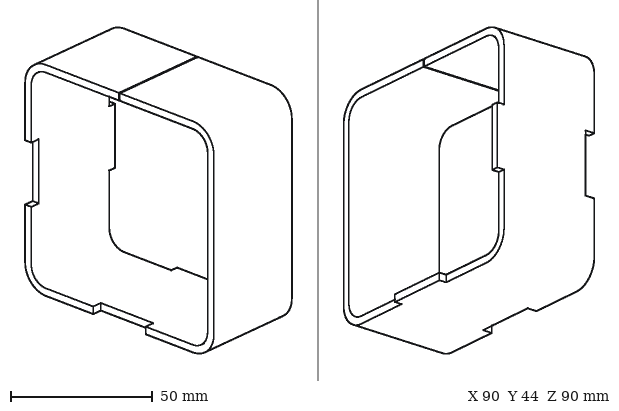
import cadquery as cq

outer_side = 90.0
wall = 3.0
outer_radius = 10.0
band_depth = 41.0

joint_width = 25.0
tab_length = 3.0
notch_depth = 4.0

seam_gap = 0.5

inner_side = outer_side - 2 * wall
inner_radius = outer_radius - wall
wall_center = (outer_side - wall) / 2


def rounded_bar(side, radius):
    """Square bar along +Y with its four long edges rounded."""
    bar = cq.Workplane("XY").box(side, band_depth, side, centered=(True, False, True))
    return bar.edges("|Y").fillet(radius)


def joint_blocks(y_start, length):
    """Wall-thick blocks centred on the left and bottom walls, from y_start along +Y."""
    centering = (True, False, True)
    left = cq.Workplane("XY").box(wall, length, joint_width, centered=centering)
    bottom = cq.Workplane("XY").box(joint_width, length, wall, centered=centering)
    left = left.translate((-wall_center, y_start, 0))
    bottom = bottom.translate((0, y_start, -wall_center))
    return [left, bottom]


def seam_cutter():
    """Thin slab that parts the top wall over the full depth."""
    slab = cq.Workplane("XY").box(seam_gap, band_depth, wall, centered=(True, False, True))
    return slab.translate((0, 0, wall_center))


result = rounded_bar(outer_side, outer_radius).cut(rounded_bar(inner_side, inner_radius))

for tab in joint_blocks(band_depth, tab_length):
    result = result.union(tab)

for notch in joint_blocks(0, notch_depth):
    result = result.cut(notch)

result = result.cut(seam_cutter())